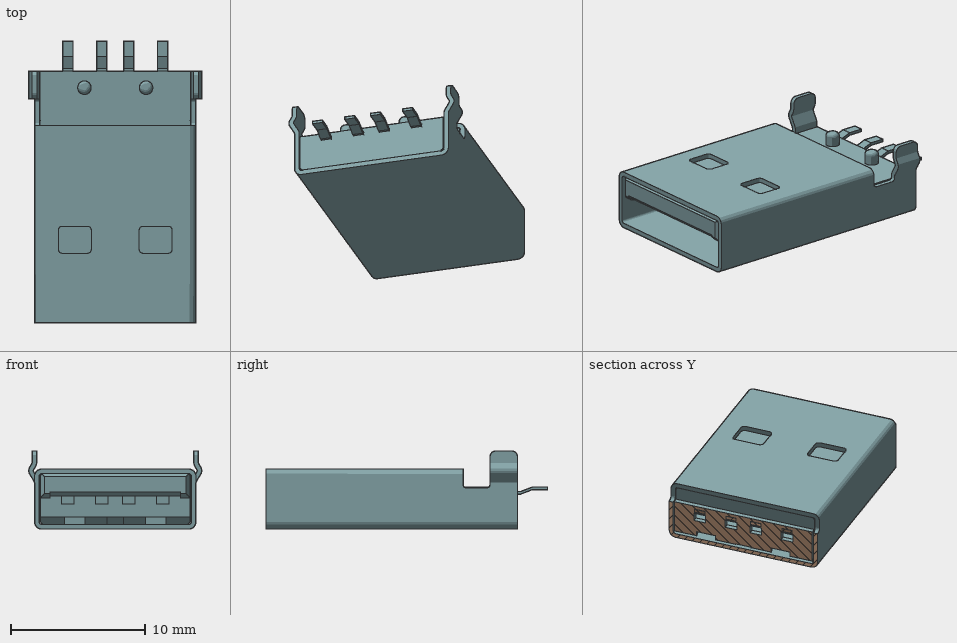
import cadquery as cq
import math

SHELL_WIDTH = 12.0
SHELL_LENGTH = 18.73
SHELL_HEIGHT = 4.48
SHEET = 0.35
SHELL_CORNER = 0.55
ROOF_LENGTH = 14.69
WALL_TOP = 3.05
NOTCH_CORNER = 0.25

WINDOW_SPACING = 6.01
WINDOW_WIDTH = 2.45
WINDOW_LENGTH = 2.01
WINDOW_CENTRE_Y = 6.18
WINDOW_CORNER = 0.3

EAR_LENGTH = 2.07
EAR_TOP = 5.82
EAR_SPAN = 12.88
EAR_BEND_ANGLE = math.radians(31)
EAR_BULGE_RADIUS = 0.5
EAR_BEND_RADIUS = 0.31
EAR_TOP_OFFSET = 0.19
EAR_TOE_Z = 3.48
EAR_CORNER = 0.46

SIDE_GAP = 0.06
HOUSING_TOP = 3.12
TONGUE_BOTTOM = 2.45
TONGUE_CHAMFER = 0.31
TONGUE_TOP_CHAMFER = 0.2
RAIL_WIDTH = 0.71
RAIL_DROP = 0.13
FOOT_CHAMFER = 0.55
FOOT_CENTRE_WIDTH = 1.25
FOOT_CENTRE_DEPTH = 0.6
FOOT_POCKET_WIDTH = 1.5
FOOT_POCKET_DEPTH = 0.73

PEG_DIAMETER = 1.0
PEG_SPACING = 4.59
PEG_HEIGHT = 0.96
PEG_ROUND = 0.3
PEG_TO_BACK = 1.24

INNER_CONTACT_X = 1.0
OUTER_CONTACT_X = 3.52
CONTACT_WIDTH = 0.78
CONTACT_THICKNESS = 0.2
CONTACT_BOTTOM = 2.6
CONTACT_FRONT = 2.1
TAIL_LENGTH = 2.22
TAIL_BEND_START = 0.2
TAIL_BEND_END = 1.09
TAIL_RISE = 0.34

RELIEF_BOTTOM = 1.86
RELIEF_DEPTH = 0.42
RELIEF_WIDTH = 0.92

WALL_X = SHELL_WIDTH / 2
INNER_X = WALL_X - SHEET
INNER_CORNER = SHELL_CORNER - SHEET
ROOF_UNDERSIDE = SHELL_HEIGHT - SHEET
HOUSING_WIDTH = 2 * (INNER_X - SIDE_GAP)
CONTACT_PLACES = [-OUTER_CONTACT_X, -INNER_CONTACT_X, INNER_CONTACT_X, OUTER_CONTACT_X]


def block(width, y_start, y_end, z_bottom, z_top, x=0.0):
    """Box centred on x, spanning the given Y and Z ranges."""
    box = cq.Workplane("XY").box(width, y_end - y_start, z_top - z_bottom, centered=(True, False, False))
    return box.translate((x, y_start, z_bottom))


def make_ear():
    """Right-hand ear: a strip that bulges outward, then stands upright."""
    slope = math.tan(EAR_BEND_ANGLE)
    apex_x = EAR_SPAN / 2 + EAR_BULGE_RADIUS * (1 / math.cos(EAR_BEND_ANGLE) - 1)
    apex_z = EAR_TOE_Z + (apex_x - WALL_X) / slope
    top_x = WALL_X + EAR_TOP_OFFSET
    neck_z = apex_z + (apex_x - top_x) / slope
    mitre = SHEET * math.tan(EAR_BEND_ANGLE / 2)
    toe = (WALL_X, EAR_TOE_Z)
    apex = (apex_x, apex_z)
    neck = (top_x, neck_z)
    inner_neck = (top_x - SHEET, neck_z - mitre)
    inner_apex = (apex_x - SHEET / math.cos(EAR_BEND_ANGLE), apex_z)
    inner_toe = (INNER_X, EAR_TOE_Z + mitre)
    outer_side = [(WALL_X, WALL_TOP), toe, apex, neck, (top_x, EAR_TOP)]
    inner_side = [(top_x - SHEET, EAR_TOP), inner_neck, inner_apex, inner_toe, (INNER_X, WALL_TOP)]
    ear = cq.Workplane("XZ", origin=(0, SHELL_LENGTH, 0)).polyline(outer_side + inner_side).close()
    ear = ear.extrude(EAR_LENGTH)

    mid_y = SHELL_LENGTH - EAR_LENGTH / 2
    bends = [
        (toe, EAR_BEND_RADIUS),
        (apex, EAR_BULGE_RADIUS),
        (neck, EAR_BEND_RADIUS),
        (inner_neck, EAR_BEND_RADIUS + SHEET),
        (inner_apex, EAR_BULGE_RADIUS - SHEET),
        (inner_toe, EAR_BEND_RADIUS + SHEET),
    ]
    for (x, z), radius in bends:
        ear = ear.edges("|Y").edges(cq.NearestToPointSelector((x, mid_y, z))).fillet(radius)
    return ear.edges("|X").edges(">Z").fillet(EAR_CORNER)


def make_shell():
    tube = block(SHELL_WIDTH, 0, SHELL_LENGTH, 0, SHELL_HEIGHT).edges("|Y").fillet(SHELL_CORNER)
    bore = block(2 * INNER_X, 0, SHELL_LENGTH, SHEET, ROOF_UNDERSIDE)
    shell = tube.cut(bore.edges("|Y").fillet(INNER_CORNER))

    shell = shell.cut(block(SHELL_WIDTH, ROOF_LENGTH, SHELL_LENGTH, WALL_TOP, SHELL_HEIGHT))
    ear = make_ear()
    shell = shell.union(ear).union(ear.mirror("YZ"))
    for x in (-WALL_X + SHEET / 2, WALL_X - SHEET / 2):
        for y in (ROOF_LENGTH, SHELL_LENGTH - EAR_LENGTH):
            corner = cq.NearestToPointSelector((x, y, WALL_TOP))
            shell = shell.edges("|X").edges(corner).fillet(NOTCH_CORNER)

    for side in (-1, 1):
        window = block(
            WINDOW_WIDTH,
            WINDOW_CENTRE_Y - WINDOW_LENGTH / 2,
            WINDOW_CENTRE_Y + WINDOW_LENGTH / 2,
            ROOF_UNDERSIDE,
            SHELL_HEIGHT,
            side * WINDOW_SPACING / 2,
        )
        shell = shell.cut(window.edges("|Z").fillet(WINDOW_CORNER))
    return shell


def make_contact(x):
    """Flat strip whose tail steps up behind the shell."""
    bend_start = SHELL_LENGTH + TAIL_BEND_START
    bend_end = SHELL_LENGTH + TAIL_BEND_END
    tail_end = SHELL_LENGTH + TAIL_LENGTH
    lower = [
        (CONTACT_FRONT, CONTACT_BOTTOM),
        (bend_start, CONTACT_BOTTOM),
        (bend_end, CONTACT_BOTTOM + TAIL_RISE),
        (tail_end, CONTACT_BOTTOM + TAIL_RISE),
    ]
    upper = [(y, z + CONTACT_THICKNESS) for y, z in reversed(lower)]
    strip = cq.Workplane("YZ").polyline(lower + upper).close().extrude(CONTACT_WIDTH / 2, both=True)
    return strip.translate((x, 0, 0))


def bevel(y, z, depth, height, width):
    """Prism of triangular section along X that bevels the front edge at (y, z)."""
    section = cq.Workplane("YZ").polyline([(y, z), (y + depth, z), (y, z + height)]).close()
    return section.extrude(width / 2, both=True)


def make_tongue():
    """Tongue with a bevelled tip and a rail along each lower side."""
    rail_bottom = TONGUE_BOTTOM - RAIL_DROP
    tongue = block(HOUSING_WIDTH, 0, ROOF_LENGTH, rail_bottom, ROOF_UNDERSIDE)
    tongue = tongue.edges("|Y").edges(">Z").fillet(INNER_CORNER)
    tongue = tongue.cut(bevel(0, rail_bottom, TONGUE_CHAMFER, TONGUE_CHAMFER, HOUSING_WIDTH))

    channel_width = HOUSING_WIDTH - 2 * RAIL_WIDTH
    tongue = tongue.cut(block(channel_width, 0, ROOF_LENGTH, rail_bottom, TONGUE_BOTTOM))
    tongue = tongue.cut(bevel(0, TONGUE_BOTTOM, TONGUE_CHAMFER, TONGUE_CHAMFER, channel_width))
    tongue = tongue.cut(bevel(0, ROOF_UNDERSIDE, TONGUE_TOP_CHAMFER, -TONGUE_TOP_CHAMFER, HOUSING_WIDTH))

    side_x = HOUSING_WIDTH / 2
    corner = [(side_x, 0), (side_x, TONGUE_CHAMFER), (side_x - TONGUE_CHAMFER, 0)]
    side_bevel = cq.Workplane("XY").polyline(corner).close().extrude(SHELL_HEIGHT)
    return tongue.cut(side_bevel).cut(side_bevel.mirror("YZ"))


def make_rear_block():
    """Rear block with a chamfered foot, foot pockets and contact recesses."""
    body = block(HOUSING_WIDTH, ROOF_LENGTH, SHELL_LENGTH, SHEET, HOUSING_TOP)
    body = body.edges("|Y").edges("<Z").chamfer(INNER_CORNER)
    foot_top = SHEET + FOOT_CHAMFER
    for width, depth in ((HOUSING_WIDTH, FOOT_CHAMFER), (FOOT_CENTRE_WIDTH, FOOT_CENTRE_DEPTH)):
        body = body.cut(bevel(ROOF_LENGTH, SHEET, depth, FOOT_CHAMFER, width))
    for side in (-1, 1):
        x = side * WINDOW_SPACING / 2
        pocket_end = ROOF_LENGTH + FOOT_POCKET_DEPTH
        body = body.cut(block(FOOT_POCKET_WIDTH, ROOF_LENGTH, pocket_end, SHEET, foot_top, x))
    for x in CONTACT_PLACES:
        relief_end = ROOF_LENGTH + RELIEF_DEPTH
        body = body.cut(block(RELIEF_WIDTH, ROOF_LENGTH, relief_end, RELIEF_BOTTOM, TONGUE_BOTTOM, x))
    return body


def make_peg(x):
    peg = cq.Workplane("XY", origin=(x, SHELL_LENGTH - PEG_TO_BACK, HOUSING_TOP))
    peg = peg.circle(PEG_DIAMETER / 2).extrude(PEG_HEIGHT)
    return peg.faces(">Z").edges().fillet(PEG_ROUND)


def make_housing(contacts):
    housing = make_rear_block().union(make_tongue())
    for side in (-1, 1):
        housing = housing.union(make_peg(side * PEG_SPACING / 2))
    for contact in contacts:
        housing = housing.cut(contact)
    return housing


contacts = [make_contact(x) for x in CONTACT_PLACES]
shell = make_shell()
housing = make_housing(contacts)

result = cq.Compound.makeCompound([shell.val(), housing.val(), *[contact.val() for contact in contacts]])